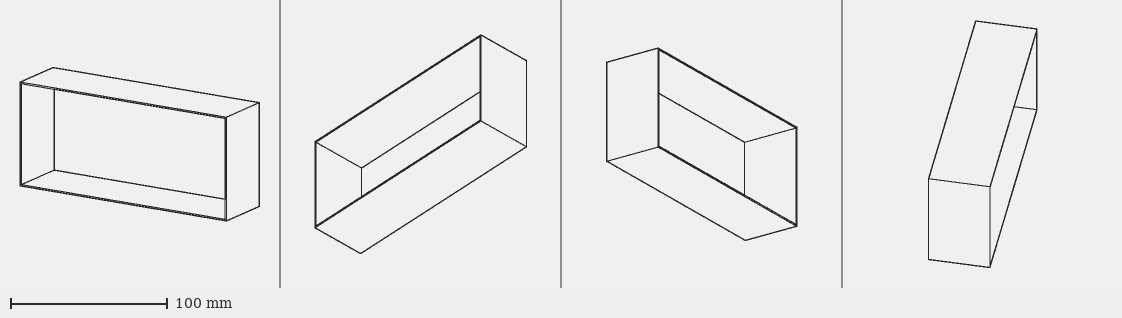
import cadquery as cq

length = 155.0
depth = 40.0
height = 69.0
wall = 1.0

opening_length = length - 2 * wall
opening_height = height - 2 * wall

outer_block = cq.Workplane("XY").box(length, depth, height)
opening = cq.Workplane("XY").box(opening_length, depth, opening_height)

result = outer_block.cut(opening)